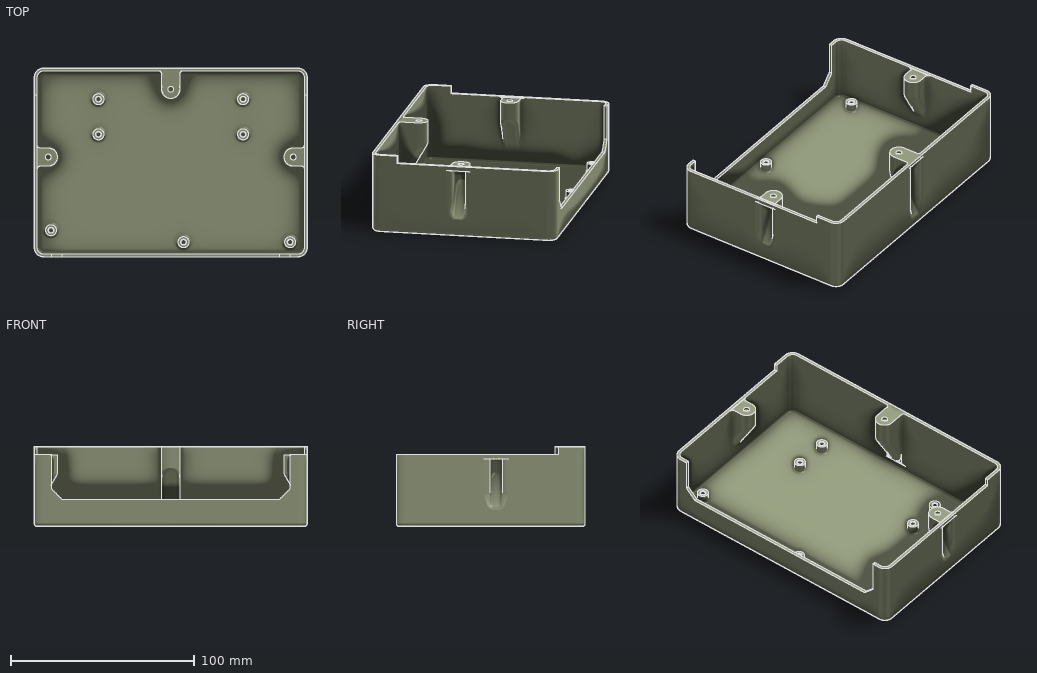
import math

import cadquery as cq

LENGTH = 149.2
WIDTH = 103.2
HEIGHT = 43.6
WALL = 1.6
FLOOR = 1.6
CORNER_RADIUS = 5.2
FLOOR_FILLET = 1.6
INNER_LENGTH = LENGTH - 2 * WALL
INNER_WIDTH = WIDTH - 2 * WALL

LOW_RIM_Z = 39.4
RIM_STEP_Y = 37.0

OPENING_WIDTH = 130.4
OPENING_SILL_Z = 14.8
OPENING_CHAMFER = 5.8

BOSS_RADIUS = 5.0
BOSS_ROOF = 2.0
BOSS_HOLE_DIAMETER = 3.2
BOSS_EDGE_FILLET = 2 * WALL
BOSS_JOINT_FILLET = WALL
BOSS_SLOPE_ANGLE = 30.0
REAR_BOSS_REACH = 10.0
REAR_BOSS_TIP_Z = 31.0
SIDE_BOSS_REACH = 6.1
SIDE_BOSS_TOP_Z = 38.9
SIDE_BOSS_TIP_Z = 28.6
SIDE_BOSS_Y = 3.0

STANDOFF_DIAMETER = 6.0
STANDOFF_HOLE_DIAMETER = 2.85
STANDOFF_MOUTH_DIAMETER = 3.2
STANDOFF_MOUTH_DEPTH = 0.4
STANDOFF_HEIGHT = 5.0
STANDOFF_FILLET = 1.6
REAR_STANDOFF_X = 39.5
REAR_STANDOFF_ROWS = (34.6, 15.4)
STANDOFFS = [(side * REAR_STANDOFF_X, y) for side in (-1, 1) for y in REAR_STANDOFF_ROWS]
STANDOFFS += [(-65.4, -37.0), (7.0, -43.5), (65.2, -43.5)]

MARGIN = 1.0


def make_tray():
    outer = (
        cq.Workplane("XY")
        .rect(LENGTH, WIDTH)
        .extrude(HEIGHT)
        .edges("|Z")
        .fillet(CORNER_RADIUS)
        .faces("<Z")
        .edges()
        .fillet(FLOOR_FILLET)
    )
    cavity = (
        cq.Workplane("XY", origin=(0, 0, FLOOR))
        .rect(INNER_LENGTH, INNER_WIDTH)
        .extrude(HEIGHT)
        .edges("|Z")
        .fillet(CORNER_RADIUS - WALL)
        .faces("<Z")
        .edges()
        .fillet(FLOOR_FILLET)
    )
    return outer.cut(cavity)


def lower_rim(tray):
    removed_width = RIM_STEP_Y + WIDTH / 2
    cutter = (
        cq.Workplane("XY", origin=(0, RIM_STEP_Y - removed_width / 2, LOW_RIM_Z))
        .rect(LENGTH, removed_width)
        .extrude(HEIGHT - LOW_RIM_Z)
    )
    return tray.cut(cutter)


def cut_front_opening(tray):
    half_width = OPENING_WIDTH / 2
    half_sill = half_width - OPENING_CHAMFER
    chamfer_top_z = OPENING_SILL_Z + OPENING_CHAMFER
    cutter = (
        cq.Workplane("XZ", origin=(0, -INNER_WIDTH / 2, 0))
        .moveTo(-half_sill, OPENING_SILL_Z)
        .lineTo(half_sill, OPENING_SILL_Z)
        .lineTo(half_width, chamfer_top_z)
        .lineTo(half_width, HEIGHT)
        .lineTo(-half_width, HEIGHT)
        .lineTo(-half_width, chamfer_top_z)
        .close()
        .extrude(WALL)
    )
    return tray.cut(cutter)


def slope_rise():
    """Height gained by the sloped underside of a boss per millimetre away from the wall."""
    return 1 / math.tan(math.radians(BOSS_SLOPE_ANGLE))


def region_below_slope(tip_x, tip_z, half_width):
    """Wedge filling everything under the sloped underside, from behind the wall face outwards."""
    back_z = tip_z - (tip_x + WALL) * slope_rise()
    front_z = tip_z + MARGIN * slope_rise()
    return (
        cq.Workplane("XZ")
        .moveTo(-WALL, back_z)
        .lineTo(tip_x + MARGIN, front_z)
        .lineTo(tip_x + MARGIN, back_z)
        .close()
        .extrude(half_width + MARGIN, both=True)
    )


def sloped_column(reach, radius, top_z, tip_z, edge_fillet):
    """Round-nosed column along +X from a wall face at X = 0, sliced off by the slope below."""
    tip_x = reach + radius
    back_z = tip_z - (tip_x + WALL) * slope_rise()
    column = (
        cq.Workplane("XY", origin=(0, 0, back_z))
        .moveTo(-WALL, -radius)
        .lineTo(reach, -radius)
        .threePointArc((tip_x, 0), (reach, radius))
        .lineTo(-WALL, radius)
        .close()
        .extrude(top_z - back_z)
        .cut(region_below_slope(tip_x, tip_z, radius))
    )
    in_front_of_back_edge = cq.selectors.BoxSelector(
        (-WALL / 2, -tip_x, back_z), (tip_x + MARGIN, tip_x, top_z))
    return column.faces("<Z").edges(in_front_of_back_edge).fillet(edge_fillet)


def blended_boss(reach, radius, top_z, tip_z, edge_fillet, joint_fillet):
    """Sloped column on a thin plate, with a fillet all round the joint except at the top."""
    column = sloped_column(reach, radius, top_z, tip_z, edge_fillet)
    foot_z = tip_z - (reach + radius) * slope_rise()
    plate_width = 2 * (radius + joint_fillet + MARGIN)
    plate_bottom_z = foot_z - joint_fillet
    plate = (
        cq.Workplane("XY", origin=(-WALL / 2, 0, plate_bottom_z))
        .rect(WALL, plate_width)
        .extrude(top_z - plate_bottom_z)
    )
    joint = cq.selectors.BoxSelector(
        (-WALL / 4, -radius - MARGIN / 2, foot_z - MARGIN / 2),
        (WALL / 4, radius + MARGIN / 2, top_z - MARGIN / 2),
    )
    return column.union(plate).edges(joint).fillet(joint_fillet)


def flared_root(reach, radius, top_z, tip_z, flare_radius):
    """Root of a boss that widens towards the wall and ends flat at the slope."""
    tip_x = reach + radius
    foot_z = tip_z - tip_x * slope_rise()
    root_half_width = radius + flare_radius
    arc_offset = flare_radius * (1 - math.sqrt(0.5))
    return (
        cq.Workplane("XY", origin=(0, 0, foot_z))
        .moveTo(0, -root_half_width)
        .threePointArc((arc_offset, -radius - arc_offset), (flare_radius, -radius))
        .lineTo(flare_radius, radius)
        .threePointArc((arc_offset, radius + arc_offset), (0, root_half_width))
        .close()
        .extrude(top_z - foot_z)
        .cut(region_below_slope(tip_x, tip_z, root_half_width))
    )


def boss_pocket(reach, top_z, tip_z):
    """Hollow of a boss, open to the outside and leaving one wall thickness all round."""
    tip_rise = WALL * math.tan(math.radians(BOSS_SLOPE_ANGLE / 2))
    return blended_boss(
        reach + WALL,
        BOSS_RADIUS - WALL,
        top_z - BOSS_ROOF,
        tip_z + tip_rise,
        BOSS_EDGE_FILLET - WALL,
        BOSS_JOINT_FILLET + WALL,
    ).translate((-WALL, 0, 0))


def boss_hole(reach, top_z):
    return (
        cq.Workplane("XY", origin=(reach, 0, top_z - BOSS_ROOF - MARGIN))
        .circle(BOSS_HOLE_DIAMETER / 2)
        .extrude(BOSS_ROOF + 2 * MARGIN)
    )


def place_on_wall(shape, face_point, direction):
    """Turn a shape's +X axis to the given angle and move its origin to a wall face."""
    return shape.rotate((0, 0, 0), (0, 0, 1), direction).translate(face_point)


def add_rear_boss(tray):
    reach, top_z, tip_z = REAR_BOSS_REACH, HEIGHT, REAR_BOSS_TIP_Z
    column = sloped_column(reach, BOSS_RADIUS, top_z, tip_z, BOSS_EDGE_FILLET)
    root = flared_root(reach, BOSS_RADIUS, top_z, tip_z, BOSS_JOINT_FILLET)
    placement = ((0, INNER_WIDTH / 2, 0), -90)
    tray = tray.union(place_on_wall(column.union(root), *placement))
    tray = tray.cut(place_on_wall(boss_pocket(reach, top_z, tip_z), *placement))
    return tray.cut(place_on_wall(boss_hole(reach, top_z), *placement))


def add_side_bosses(tray):
    reach, top_z, tip_z = SIDE_BOSS_REACH, SIDE_BOSS_TOP_Z, SIDE_BOSS_TIP_Z
    boss = blended_boss(reach, BOSS_RADIUS, top_z, tip_z, BOSS_EDGE_FILLET, BOSS_JOINT_FILLET)
    pocket = boss_pocket(reach, top_z, tip_z)
    hole = boss_hole(reach, top_z)
    for side, direction in ((-1, 0), (1, 180)):
        placement = ((side * INNER_LENGTH / 2, SIDE_BOSS_Y, 0), direction)
        tray = tray.union(place_on_wall(boss, *placement))
        tray = tray.cut(place_on_wall(pocket, *placement))
        tray = tray.cut(place_on_wall(hole, *placement))
    return tray


def make_standoff():
    """Tube with a stepped bore and a concave flare at its base, standing on Z = 0."""
    hole_radius = STANDOFF_HOLE_DIAMETER / 2
    mouth_radius = STANDOFF_MOUTH_DIAMETER / 2
    mouth_z = STANDOFF_HEIGHT - STANDOFF_MOUTH_DEPTH
    radius = STANDOFF_DIAMETER / 2
    flare_radius = radius + STANDOFF_FILLET
    arc_offset = STANDOFF_FILLET * (1 - math.sqrt(0.5))
    return (
        cq.Workplane("XZ")
        .moveTo(hole_radius, -FLOOR / 2)
        .lineTo(flare_radius, -FLOOR / 2)
        .lineTo(flare_radius, 0)
        .threePointArc((radius + arc_offset, arc_offset), (radius, STANDOFF_FILLET))
        .lineTo(radius, STANDOFF_HEIGHT)
        .lineTo(mouth_radius, STANDOFF_HEIGHT)
        .lineTo(mouth_radius, mouth_z)
        .lineTo(hole_radius, mouth_z)
        .close()
        .revolve(360, (0, 0, 0), (0, 1, 0))
    )


def add_standoffs(tray):
    standoff = make_standoff()
    for x, y in STANDOFFS:
        tray = tray.union(standoff.translate((x, y, FLOOR)))
    return tray


result = make_tray()
result = lower_rim(result)
result = cut_front_opening(result)
result = add_rear_boss(result)
result = add_side_bosses(result)
result = add_standoffs(result)